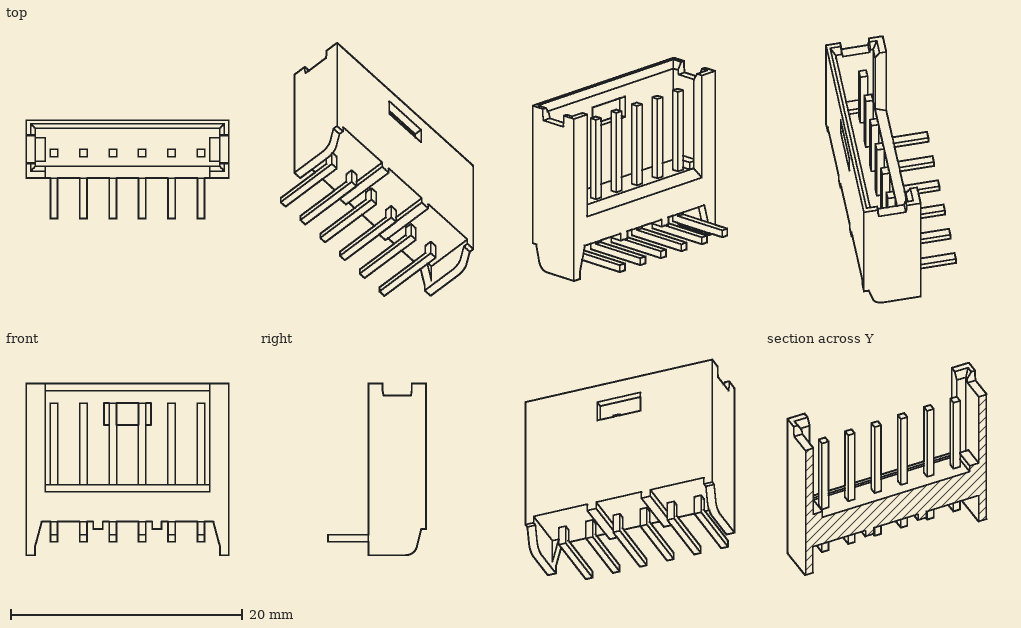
import cadquery as cq
import math


body_width = 17.52
body_depth = 5.0
body_height = 14.85
half_width = body_width / 2

side_wall = 0.78
front_wall = 1.0
back_wall = 0.7
floor_z = 5.88
lead_in_width = 0.4
lead_in_height = 0.64

opening_width = 14.2
sill_front_z = 5.5
sill_back_z = 6.1

window_width = 4.06
window_bottom = 11.28
window_top = 13.15

notch_front = 1.24
notch_back = 3.75
notch_depth = 1.03
notch_straight_depth = 0.6
notch_taper = 0.08

block_front = 1.47
block_back = 3.47
block_height = 0.64

underside_z = 2.9
standoff_z = 2.25
standoff_width = 0.84
leg_thickness = 0.77
leg_back_step = 0.42
leg_back_angle = 14
leg_corner_radius = 1.0

gusset_depth = 0.8
gusset_width = 0.59
gusset_bottom = 0.72

pin_count = 6
pin_pitch = 2.54
pin_size = 0.64
pin_y = 2.18
pin_top = 13.15
tail_z = 1.47
tail_length = 3.5
standoff_spacing = 2 * pin_pitch


def box(x_range, y_range, z_range):
    """Box spanning the given (low, high) ranges."""
    low = (x_range[0], y_range[0], z_range[0])
    size = (x_range[1] - x_range[0], y_range[1] - y_range[0], z_range[1] - z_range[0])
    return cq.Workplane("XY").box(*size, centered=False).translate(low)


def side_profile(points, half_length):
    """Prism along X, centred on X = 0, from an outline of (y, z) points."""
    return cq.Workplane("YZ").polyline(points).close().extrude(half_length, both=True)


def make_blank():
    """Outer block, with its lower back edge stepped, sloped and rounded to shape the legs."""
    slope_top_y = body_depth - leg_back_step
    slope_foot_y = slope_top_y - standoff_z * math.tan(math.radians(leg_back_angle))
    outline = [
        (0, 0),
        (slope_foot_y, 0),
        (slope_top_y, standoff_z),
        (body_depth, standoff_z),
        (body_depth, body_height),
        (0, body_height),
    ]
    blank = side_profile(outline, half_width)
    foot_edge = cq.selectors.NearestToPointSelector((0, slope_foot_y, 0))
    return blank.edges("|X").edges(foot_edge).fillet(leg_corner_radius)


def make_leg_gap():
    """Space between the legs, open from front to back."""
    half_gap = half_width - leg_thickness
    return box((-half_gap, half_gap), (0, body_depth), (0, underside_z))


def make_gusset(side):
    """Triangular gusset in the front corner between a leg and the underside."""
    leg_x = side * (half_width - leg_thickness)
    tip_x = leg_x - side * gusset_width
    outline = [(leg_x, gusset_bottom), (leg_x, underside_z), (tip_x, underside_z)]
    return cq.Workplane("XZ").polyline(outline).close().extrude(-gusset_depth)


def make_cavity():
    """Rectangular cavity with a flared lead-in around its mouth."""
    width = body_width - 2 * side_wall
    depth = body_depth - front_wall - back_wall
    center_y = front_wall + depth / 2
    cavity = box((-width / 2, width / 2), (front_wall, body_depth - back_wall), (floor_z, body_height))
    lead_in = (
        cq.Workplane("XY", origin=(0, center_y, body_height - lead_in_height))
        .rect(width, depth)
        .workplane(offset=lead_in_height)
        .rect(width + 2 * lead_in_width, depth + 2 * lead_in_width)
        .loft(ruled=True)
    )
    return cavity.union(lead_in)


def make_front_opening():
    """Opening through the front wall above a sloping sill."""
    outline = [
        (0, sill_front_z),
        (front_wall, sill_back_z),
        (front_wall, body_height),
        (0, body_height),
    ]
    return side_profile(outline, opening_width / 2)


def make_window():
    """Latch window through the back wall."""
    half_window = window_width / 2
    return box((-half_window, half_window), (body_depth - back_wall, body_depth), (window_bottom, window_top))


def make_side_notches():
    """Matching notches across the tops of both side walls."""
    bottom_z = body_height - notch_depth
    taper_z = body_height - notch_straight_depth
    outline = [
        (notch_front, body_height),
        (notch_front, taper_z),
        (notch_front + notch_taper, bottom_z),
        (notch_back - notch_taper, bottom_z),
        (notch_back, taper_z),
        (notch_back, body_height),
    ]
    return side_profile(outline, half_width)


def make_block(side):
    """Keying block reaching from one side wall to the edge of the front opening."""
    x_range = sorted((side * opening_width / 2, side * (half_width - side_wall)))
    return box(x_range, (block_front, block_back), (floor_z, floor_z + block_height))


def make_standoff(x):
    """Rib under the shroud that holds it off the board."""
    return box((x - standoff_width / 2, x + standoff_width / 2), (0, body_depth), (standoff_z, underside_z))


def make_pin(x):
    """L-shaped pin: an upright contact and a tail running out past the front face."""
    half_pin = pin_size / 2
    x_range = (x - half_pin, x + half_pin)
    tail_bottom = tail_z - half_pin
    upright = box(x_range, (pin_y - half_pin, pin_y + half_pin), (tail_bottom, pin_top))
    tail = box(x_range, (-tail_length, pin_y + half_pin), (tail_bottom, tail_z + half_pin))
    return upright.union(tail)


result = make_blank().cut(make_leg_gap())
result = result.cut(make_cavity()).cut(make_front_opening())
result = result.cut(make_window()).cut(make_side_notches())

for side in (-1, 1):
    result = result.union(make_gusset(side))
    result = result.union(make_block(side))
    result = result.union(make_standoff(side * standoff_spacing / 2))

for index in range(pin_count):
    pin_x = (index - (pin_count - 1) / 2) * pin_pitch
    result = result.union(make_pin(pin_x))